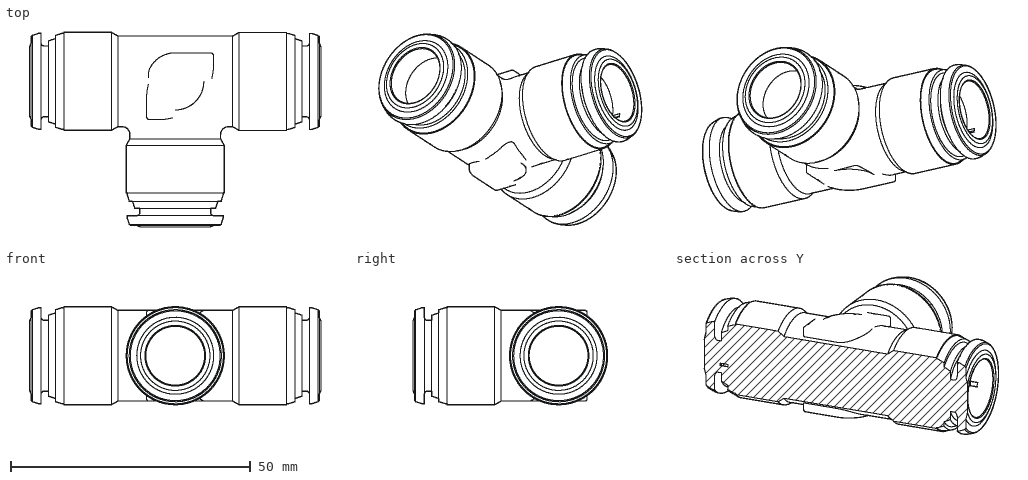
import cadquery as cq
import math

overall_length = 60.8
leg_length = overall_length / 2
leg_angles = (0, 90, 180)
neck_radius = 9.5
junction_fillet = 1.5

sleeve_diameter = 20.5
sleeve_radius = sleeve_diameter / 2
sleeve_start = 7.2
sleeve_end = 17.1
neck_start = 18.4
collar_start = 5.4
collar_end = 6.8
collar_front_radius = 9.6
collar_back_radius = 10.05

nose_height = 0.35
nose_front_radius = 7.25
nose_base_radius = 8.0
flange_front_radius = 9.35
flange_front_chamfer = 0.25
flange_radius = 10.05
flange_taper_end = 1.95
flange_end = 2.45
waist_radius = 7.4
waist_fillet = 0.6
cone_start = 3.95
cone_front_radius = 8.45
cone_back_radius = 8.95

bore_radius = 6.15
bore_depth = 5.5
mouth_chamfer = 0.2
notch_width = 0.9
notch_length = 1.8
notch_recess = 0.6
notch_angle = 17.0

pad_radius = 5.95
pad_reach = 7.95
pad_corner_radius = 0.6
pad_edge_fillet = 0.5

selection_margin = 0.05


def leg_solid():
    """The -X leg, turned about the X axis from its open end to the origin."""
    waist_start = flange_end + waist_fillet
    arc_inset = waist_fillet * (1 - math.sqrt(0.5))
    flange_side = [
        (0, 0),
        (0, nose_front_radius),
        (nose_height, nose_base_radius),
        (nose_height, flange_front_radius),
        (nose_height + flange_front_chamfer, flange_front_radius + flange_front_chamfer),
        (flange_taper_end, flange_radius),
        (flange_end, flange_radius),
        (flange_end, waist_radius + waist_fillet),
    ]
    body_side = [
        (waist_start, waist_radius),
        (cone_start, waist_radius),
        (cone_start, cone_front_radius),
        (collar_start, cone_back_radius),
        (collar_start, collar_front_radius),
        (collar_end, collar_back_radius),
        (sleeve_start, collar_back_radius),
        (sleeve_start, sleeve_radius),
        (sleeve_end, sleeve_radius),
        (neck_start, neck_radius),
        (leg_length, neck_radius),
        (leg_length, 0),
    ]
    return (
        cq.Workplane("XY", origin=(-leg_length, 0, 0))
        .polyline(flange_side)
        .threePointArc((flange_end + arc_inset, waist_radius + arc_inset), body_side[0])
        .polyline(body_side)
        .close()
        .revolve(360, (0, 0, 0), (1, 0, 0))
    )


def socket_solid():
    """The blind tube socket of the -X leg, with its chamfered mouth and its notch."""
    bore = (
        cq.Workplane("XY", origin=(-leg_length, 0, 0))
        .polyline([
            (0, 0),
            (0, bore_radius + mouth_chamfer),
            (mouth_chamfer, bore_radius),
            (bore_depth, bore_radius),
            (bore_depth, 0),
        ])
        .close()
        .revolve(360, (0, 0, 0), (1, 0, 0))
    )
    notch = (
        cq.Workplane("XY", origin=(bore_depth - leg_length, 0, 0))
        .box(notch_length, bore_radius + notch_recess, notch_width, centered=(True, False, True))
        .translate((-notch_length / 2, -bore_radius - notch_recess, 0))
        .rotate((0, 0, 0), (1, 0, 0), notch_angle)
    )
    return bore.union(notch)


def on_each_leg(shape):
    """Copies of a -X leg shape, one for each leg."""
    return [shape.rotate((0, 0, 0), (0, 0, 1), angle) for angle in leg_angles]


def pad_block():
    """Block through the junction whose two ends are the pads, flush with the necks."""
    diagonal = pad_radius / math.sqrt(2)
    block = (
        cq.Workplane("XY", origin=(0, 0, -neck_radius))
        .moveTo(0, pad_radius)
        .lineTo(pad_reach, pad_radius)
        .lineTo(pad_reach, 0)
        .lineTo(pad_radius, 0)
        .threePointArc((diagonal, -diagonal), (0, -pad_radius))
        .lineTo(0, -pad_reach)
        .lineTo(-pad_radius, -pad_reach)
        .lineTo(-pad_radius, 0)
        .threePointArc((-diagonal, diagonal), (0, pad_radius))
        .close()
        .extrude(2 * neck_radius)
    )
    for corner in [(pad_reach, pad_radius, 0), (-pad_radius, -pad_reach, 0)]:
        block = block.edges(cq.selectors.NearestToPointSelector(corner)).fillet(pad_corner_radius)

    bend_side = cq.selectors.BoxSelector(
        (-selection_margin, -pad_reach - selection_margin, -2 * neck_radius),
        (pad_reach + selection_margin, selection_margin, 2 * neck_radius),
    )
    rounded_rim = cq.selectors.InverseSelector(bend_side)
    return block.faces("<Z or >Z").edges(rounded_rim).fillet(pad_edge_fillet)


def round_inner_bends(body):
    """Fillet the seams where the branch neck meets the run neck, outside the pads."""
    near = pad_radius + selection_margin
    left_seams, right_seams = [
        cq.selectors.BoxSelector(
            (side * near, -near, -neck_radius),
            (side * neck_radius, -neck_radius, neck_radius),
        )
        for side in (-1, 1)
    ]
    return body.edges(left_seams + right_seams).fillet(junction_fillet)


body = pad_block()
for leg in on_each_leg(leg_solid()):
    body = body.union(leg)
body = round_inner_bends(body)
for socket in on_each_leg(socket_solid()):
    body = body.cut(socket)

result = body